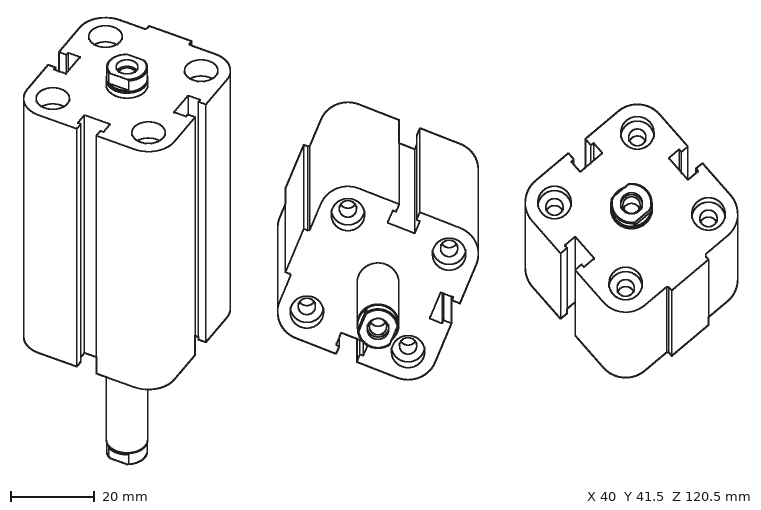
import cadquery as cq

housing_width = 40.0
half_width = housing_width / 2
corner_radius = 7.0
housing_height = 74.5

key_width = 11.6
key_height = 1.5
key_root_chamfer = 0.4

slot_mouth_width = 5.3
slot_mouth_depth = 2.0
slot_inner_width = 7.0
slot_depth = 5.3

mount_offset = half_width - corner_radius
mount_hole_diameter = 4.1
mount_hole_depth = 13.0
counterbore_diameter = 8.0
counterbore_depth = 5.1

rod_diameter = 10.0
rod_length = 120.5
rod_below_housing = 40.5
tip_diameter = 9.8
tip_length = 3.6
across_flats = 8.1
flat_length = 3.3
thread_diameter = 4.1
thread_depth = 9.6
rod_recess_diameter = 5.2
rod_recess_depth = 2.0
shoulder_chamfer_height = 0.4
end_chamfer = 0.2

housing_bottom = rod_below_housing
housing_top = housing_bottom + housing_height
housing_middle = (housing_bottom + housing_top) / 2
rod_middle = rod_length / 2


def mirrored_pair(shape, middle):
    """Join a shape to its mirror image across the horizontal plane at height middle."""
    return shape.union(shape.mirror("XY", (0, 0, middle)))


def key():
    """Rib on the +Y side, flaring out where it meets the housing."""
    half_key = key_width / 2
    root = half_key + key_root_chamfer
    return (
        cq.Workplane("XY", origin=(0, 0, housing_bottom))
        .moveTo(-root, half_width)
        .lineTo(-half_key, half_width + key_root_chamfer)
        .lineTo(-half_key, half_width + key_height)
        .lineTo(half_key, half_width + key_height)
        .lineTo(half_key, half_width + key_root_chamfer)
        .lineTo(root, half_width)
        .close()
        .extrude(housing_height)
    )


def t_slot():
    """T-slot cutter for the -Y side, over the full housing height."""
    base = cq.Workplane("XY", origin=(0, -half_width, housing_bottom))
    mouth = base.rect(slot_mouth_width, 2 * slot_mouth_depth).extrude(housing_height)
    inner_length = slot_depth - slot_mouth_depth
    inner = (
        base.center(0, slot_mouth_depth + inner_length / 2)
        .rect(slot_inner_width, inner_length)
        .extrude(housing_height)
    )
    return mouth.union(inner)


def mounting_holes():
    """Cutters for the four counterbored blind holes in each end face."""
    pattern = (
        cq.Workplane("XY", origin=(0, 0, housing_top))
        .rect(2 * mount_offset, 2 * mount_offset, forConstruction=True)
        .vertices()
    )
    holes = pattern.circle(mount_hole_diameter / 2).extrude(-mount_hole_depth)
    counterbores = pattern.circle(counterbore_diameter / 2).extrude(-counterbore_depth)
    return mirrored_pair(holes.union(counterbores), housing_middle)


def make_housing():
    body = (
        cq.Workplane("XY", origin=(0, 0, housing_bottom))
        .rect(housing_width, housing_width)
        .extrude(housing_height)
        .edges("|Z")
        .fillet(corner_radius)
        .union(key())
    )
    for angle in (-90, 0, 90):
        body = body.cut(t_slot().rotate((0, 0, 0), (0, 0, 1), angle))
    rod_bore = (
        cq.Workplane("XY", origin=(0, 0, housing_bottom))
        .circle(rod_diameter / 2)
        .extrude(housing_height)
    )
    return body.cut(mounting_holes()).cut(rod_bore)


def wrench_flats():
    """Cutters for the two opposite flats at each rod end."""
    end_face = cq.Workplane("XY", origin=(0, 0, rod_length))
    blank = end_face.rect(2 * rod_diameter, 2 * rod_diameter).extrude(-flat_length)
    kept = end_face.rect(2 * rod_diameter, across_flats).extrude(-flat_length)
    return mirrored_pair(blank.cut(kept), rod_middle)


def threaded_holes():
    """Cutters for the blind hole and its wider mouth in each rod end."""
    end_face = cq.Workplane("XY", origin=(0, 0, rod_length))
    hole = end_face.circle(thread_diameter / 2).extrude(-thread_depth)
    recess = end_face.circle(rod_recess_diameter / 2).extrude(-rod_recess_depth)
    return mirrored_pair(hole.union(recess), rod_middle)


def make_rod():
    rod_radius = rod_diameter / 2
    tip_radius = tip_diameter / 2
    shoulder = rod_length - tip_length
    upper_half = (
        cq.Workplane("XZ")
        .moveTo(0, rod_middle)
        .lineTo(rod_radius, rod_middle)
        .lineTo(rod_radius, shoulder - shoulder_chamfer_height)
        .lineTo(tip_radius, shoulder)
        .lineTo(tip_radius, rod_length - end_chamfer)
        .lineTo(tip_radius - end_chamfer, rod_length)
        .lineTo(0, rod_length)
        .close()
        .revolve(360, (0, 0), (0, 1))
    )
    return mirrored_pair(upper_half, rod_middle).cut(wrench_flats()).cut(threaded_holes())


housing = make_housing()
rod = make_rod()

result = cq.Compound.makeCompound([housing.val(), rod.val()])